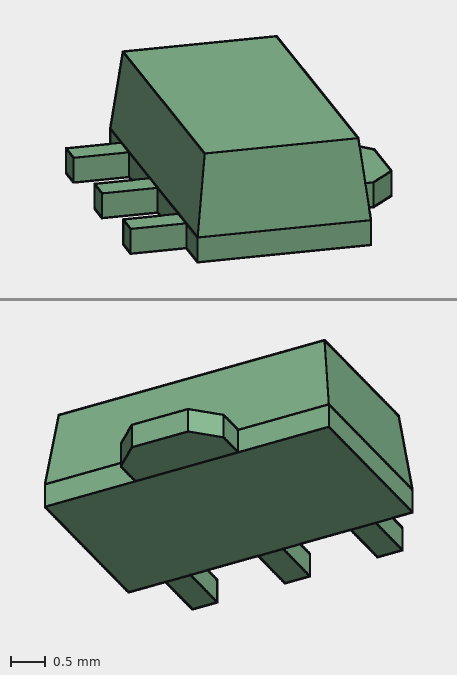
import cadquery as cq

body_length = 4.6
body_depth = 2.585
body_height = 1.6
side_inset = 0.145

lead_thickness = 0.38
lead_width = 0.405
lead_reach = 0.83
lead_pitch = 1.5
lead_count = 3

tab_width = 1.665
tab_reach = 0.83
tab_chamfer = 0.375


def make_base():
    """Flat lower slab of the package, resting on Z = 0."""
    return cq.Workplane("XY").box(
        body_length, body_depth, lead_thickness, centered=(True, True, False)
    )


def make_cover():
    """Upper package half whose four sides lean inward."""
    return (
        cq.Workplane("XY", origin=(0, 0, lead_thickness))
        .rect(body_length, body_depth)
        .workplane(offset=body_height - lead_thickness)
        .rect(body_length - 2 * side_inset, body_depth - 2 * side_inset)
        .loft(ruled=True)
    )


def make_lead(center_x):
    """Straight lead that butts against the -Y face of the base."""
    center_y = -(body_depth + lead_reach) / 2
    return (
        cq.Workplane("XY", origin=(center_x, center_y, 0))
        .rect(lead_width, lead_reach)
        .extrude(lead_thickness)
    )


def make_tab():
    """Heat tab that butts against the +Y face, with its outer corners cut."""
    center_y = (body_depth + tab_reach) / 2
    return (
        cq.Workplane("XY", origin=(0, center_y, 0))
        .rect(tab_width, tab_reach)
        .extrude(lead_thickness)
        .faces(">Y")
        .edges("|Z")
        .chamfer(tab_chamfer)
    )


base = make_base()
cover = make_cover()
tab = make_tab()

leads = []
for index in range(lead_count):
    lead_x = (index - (lead_count - 1) / 2) * lead_pitch
    leads.append(make_lead(lead_x))

result = cq.Compound.makeCompound(
    [base.val(), cover.val(), tab.val(), *[lead.val() for lead in leads]]
)